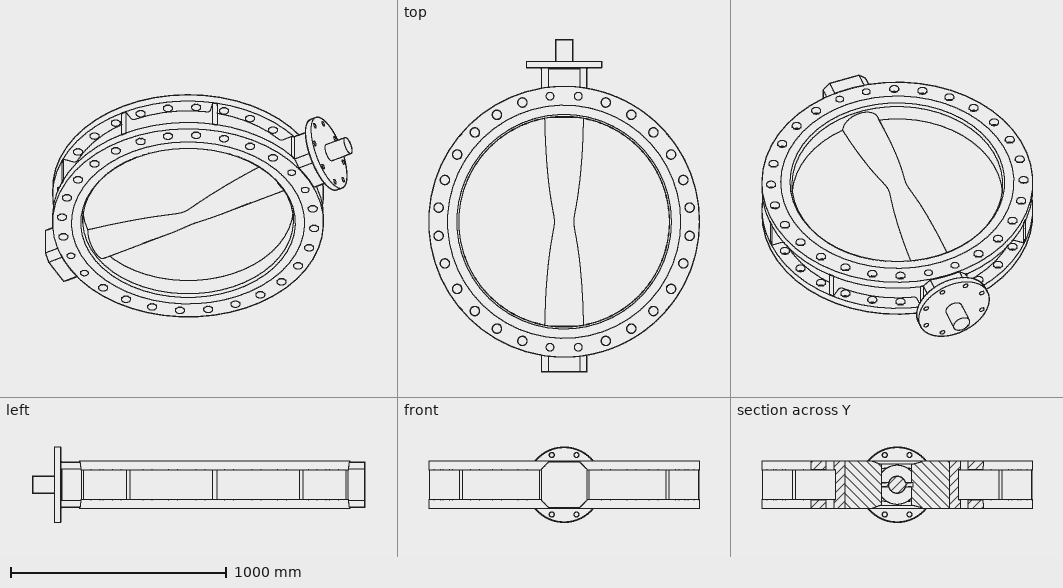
import cadquery as cq
import math


body_height = 220.0
flange_radius = 1255.0 / 2
flange_thickness = 41.0
web_radius = 562.0

bolt_count = 28
bolt_circle_radius = 1170.0 / 2
bolt_hole_diameter = 42.0
tapped_hole_diameter = 36.0
tapped_hole_depth = 60.0
drill_tip_angle = 118.0

rib_width = 22.0
rib_outer_radius = 624.0
rib_offset_angle = 40.0
web_fillet = 15.0
fillet_search_margin = 5.0

neck_width = 210.0
neck_chamfer = 32.5
neck_top = 711.0
trunnion_end = -695.0
root_width = 230.0
root_end = 618.0
root_chamfer = (root_width - neck_width) / 2

pad_radius = 175.0
pad_thickness = 32.0
pad_weld = 4.0
pad_chamfer = 3.0
pad_hole_count = 8
pad_hole_circle_radius = 298.0 / 2
pad_hole_diameter = 22.0

liner_outer_radius = 540.0
liner_bore_radius = 488.0
liner_mouth_radius = 497.0
liner_mouth_depth = 15.0

disc_center_half_height = 85.5
disc_edge_half_height = 10.0
hub_radius = 90.5
hub_half_length = 482.0

shaft_radius = 40.0
shaft_engagement = 200.0
shaft_inner_end = hub_half_length - shaft_engagement
upper_shaft_end = 843.0
lower_shaft_end = 640.0

half_height = body_height / 2
groove_height = body_height - 2 * flange_thickness


def cylinder_z(radius, height):
    """Cylinder about Z, centred on the mid plane."""
    return cq.Workplane("XY", origin=(0, 0, -height / 2)).circle(radius).extrude(height)


def cylinder_y(radius, y_start, y_end):
    """Cylinder about Y between two Y positions."""
    plane = cq.Workplane("XZ", origin=(0, y_start, 0))
    return plane.circle(radius).extrude(y_start - y_end)


def make_shell():
    """Web with its ribs and neck roots, between the two flanges."""
    web = cylinder_z(web_radius, groove_height)
    for angle in (0, rib_offset_angle, -rib_offset_angle):
        rib = cq.Workplane("XY").box(2 * rib_outer_radius, rib_width, groove_height)
        web = web.union(rib.rotate((0, 0, 0), (0, 0, 1), angle))
    root = cq.Workplane("XY").box(root_width, 2 * root_end, groove_height)
    root = root.edges("|Z").chamfer(root_chamfer)
    web = web.union(root)

    corner_limit = web_radius + fillet_search_margin
    concave = [
        edge for edge in web.edges("|Z").vals()
        if math.hypot(edge.Center().x, edge.Center().y) < corner_limit
    ]
    web = web.newObject(concave).fillet(web_fillet)

    flange = cylinder_z(flange_radius, flange_thickness)
    flange_middle = half_height - flange_thickness / 2
    for z in (flange_middle, -flange_middle):
        web = web.union(flange.translate((0, 0, z)))
    return web


def make_neck():
    """Chamfered square bar running from the lower trunnion to the mounting pad."""
    bar = cq.Workplane("XY").box(neck_width, neck_top - trunnion_end, neck_width)
    bar = bar.edges("|Y").chamfer(neck_chamfer)
    return bar.translate((0, (neck_top + trunnion_end) / 2, 0))


def make_pad_welds():
    """Fillet-weld strips between the four flats of the neck and the pad."""
    half = neck_width / 2
    profile = [(half, neck_top), (half + pad_weld, neck_top), (half, neck_top - pad_weld)]
    strip = cq.Workplane("XY").polyline(profile).close()
    strip = strip.extrude(half - neck_chamfer, both=True)
    welds = strip
    for angle in (90, 180, 270):
        welds = welds.union(strip.rotate((0, 0, 0), (0, 1, 0), angle))
    return welds


def make_pad():
    """Round actuator mounting pad with a chamfered lower rim and a ring of holes."""
    pad = cylinder_y(pad_radius, neck_top, neck_top + pad_thickness)
    pad = pad.faces("<Y").chamfer(pad_chamfer)
    pitch = 360.0 / pad_hole_count
    for index in range(pad_hole_count):
        hole = cylinder_y(pad_hole_diameter / 2, neck_top, neck_top + pad_thickness)
        hole = hole.translate((0, 0, pad_hole_circle_radius))
        pad = pad.cut(hole.rotate((0, 0, 0), (0, 1, 0), (index + 0.5) * pitch))
    return pad


def make_tapped_hole():
    """Blind hole with a drill-point bottom, entering from the upper flange face."""
    radius = tapped_hole_diameter / 2
    tip = radius / math.tan(math.radians(drill_tip_angle / 2))
    floor = half_height - tapped_hole_depth
    profile = [(0, half_height), (radius, half_height), (radius, floor), (0, floor - tip)]
    return cq.Workplane("XZ").polyline(profile).close().revolve(360, (0, 0), (0, 1))


def cut_bolt_holes(body):
    """Through holes all round, but blind from both faces beside the neck and trunnion."""
    through = cylinder_z(bolt_hole_diameter / 2, body_height)
    tapped = make_tapped_hole()
    tapped_pair = tapped.union(tapped.mirror("XY"))
    for index in range(bolt_count):
        angle = math.radians((index + 0.5) * 360.0 / bolt_count)
        x = bolt_circle_radius * math.cos(angle)
        y = bolt_circle_radius * math.sin(angle)
        hole = tapped_pair if abs(x) < neck_width / 2 else through
        body = body.cut(hole.translate((x, y, 0)))
    return body


def make_housing():
    """Flanged body with neck, trunnion and mounting pad, bored for the liner and shafts."""
    body = make_shell().union(make_neck()).union(make_pad()).union(make_pad_welds())
    body = body.cut(cylinder_z(liner_outer_radius, body_height))
    body = cut_bolt_holes(body)
    return body.cut(upper_shaft).cut(lower_shaft)


def make_liner():
    """Seat ring with a flared mouth at each end."""
    mouth_z = half_height - liner_mouth_depth
    profile = [
        (liner_outer_radius, -half_height),
        (liner_outer_radius, half_height),
        (liner_mouth_radius, half_height),
        (liner_bore_radius, mouth_z),
        (liner_bore_radius, -mouth_z),
        (liner_mouth_radius, -half_height),
    ]
    ring = cq.Workplane("XZ").polyline(profile).close().revolve(360, (0, 0), (0, 1))
    return ring.cut(upper_shaft).cut(lower_shaft)


def make_disc():
    """Double cone with a cylindrical hub along the shaft line."""
    profile = [
        (0, disc_center_half_height),
        (liner_bore_radius, disc_edge_half_height),
        (liner_bore_radius, -disc_edge_half_height),
        (0, -disc_center_half_height),
    ]
    cone = cq.Workplane("XZ").polyline(profile).close().revolve(360, (0, 0), (0, 1))
    hub = cylinder_y(hub_radius, -hub_half_length, hub_half_length)
    hub = hub.intersect(cylinder_z(liner_bore_radius, body_height))
    return cone.union(hub).cut(upper_shaft).cut(lower_shaft)


upper_shaft = cylinder_y(shaft_radius, shaft_inner_end, upper_shaft_end)
lower_shaft = cylinder_y(shaft_radius, -lower_shaft_end, -shaft_inner_end)

housing = make_housing()
liner = make_liner()
disc = make_disc()

result = cq.Compound.makeCompound(
    [housing.val(), liner.val(), disc.val(), upper_shaft.val(), lower_shaft.val()]
)